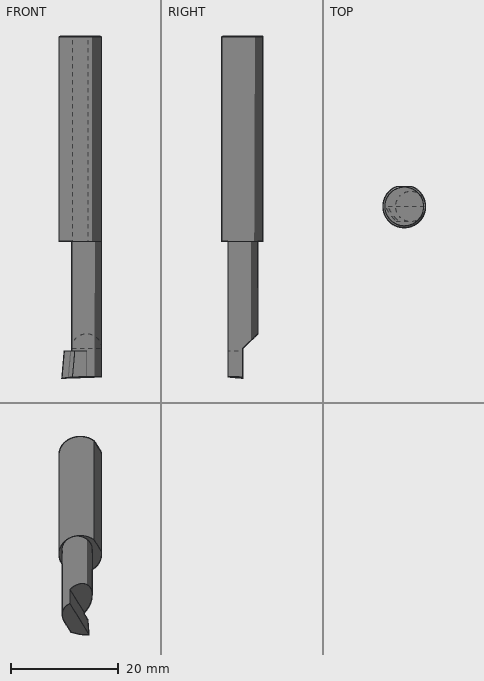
import cadquery as cq
import math

total_length = 63.5
shank_diameter = 7.95
shank_length = 38.1
shank_radius = shank_diameter / 2
shank_flat_depth = 0.25
shank_flat_y = shank_radius - shank_flat_depth
chamfer_width = 0.4
chamfer_height = 0.2

neck_diameter = 5.6
neck_radius = neck_diameter / 2
neck_center_x = shank_radius - neck_radius
neck_top = total_length - shank_length

rake_top = 5.6
relief_top = 8.25

head_height = 5.1
side_angle = 5.0
tip_x = -3.4
heel_x = -2.2
heel_y = -2.0
heel_bulge = 0.1
front_corner_x = -1.45

end_rise_x = 2.0
end_rise_y = 4.0


def make_shank():
    shank = cq.Workplane("XY").workplane(offset=neck_top).circle(shank_radius).extrude(shank_length)
    shank = shank.faces(">Z").chamfer(chamfer_height, chamfer_width)
    flat_cut = cq.Workplane("XY").box(
        shank_diameter, shank_diameter, total_length, centered=(True, False, False)
    )
    return shank.cut(flat_cut.translate((0, shank_flat_y, 0)))


def make_neck():
    neck = cq.Workplane("XY").center(neck_center_x, 0).circle(neck_radius).extrude(neck_top)
    slope = (relief_top - rake_top) / neck_radius
    outer_y = 2 * neck_radius
    relief = (
        cq.Workplane("YZ")
        .polyline([(0, 0), (outer_y, 0), (outer_y, rake_top + slope * outer_y), (0, rake_top)])
        .close()
        .extrude(shank_diameter, both=True)
    )
    return neck.cut(relief)


def head_outline(plane, shift):
    """Head section, with its cutting side moved along X by shift."""
    return (
        plane.moveTo(tip_x + shift, 0)
        .sagittaArc((heel_x + shift, heel_y), -heel_bulge)
        .lineTo(front_corner_x + shift, -neck_radius)
        .lineTo(neck_center_x, -neck_radius)
        .lineTo(neck_center_x, 0)
        .close()
    )


def make_head():
    top_shift = head_height * math.tan(math.radians(side_angle))
    lower = head_outline(cq.Workplane("XY"), 0)
    both = head_outline(lower.workplane(offset=head_height), top_shift)
    return both.loft(ruled=True, combine=True)


def make_end_cut():
    """Block below the sloping end face, which passes through the cutting tip."""
    normal = cq.Vector(
        -math.tan(math.radians(end_rise_x)),
        math.tan(math.radians(end_rise_y)),
        1,
    )
    end_plane = cq.Plane(origin=(tip_x, 0, 0), xDir=(0, 1, 0), normal=normal)
    return cq.Workplane(end_plane).circle(2 * shank_diameter).extrude(-shank_diameter)


result = make_shank().union(make_neck()).union(make_head()).cut(make_end_cut())